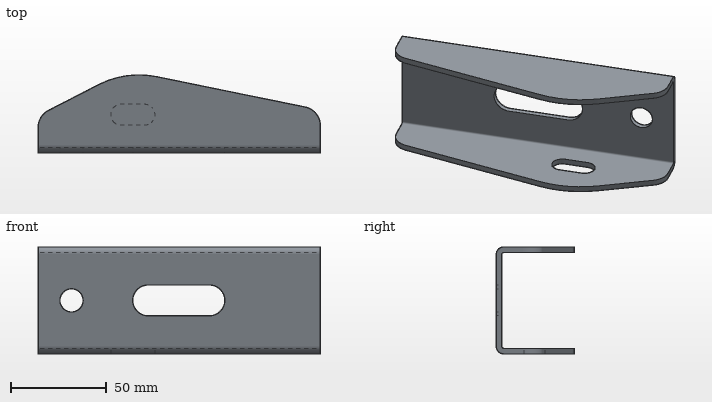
import cadquery as cq
import math

length = 147.5
depth = 40.85
height = 56.0

thickness = 3.0
bend_outer_radius = 4.0
bend_inner_radius = bend_outer_radius - thickness

peak_x = 52.7
peak_radius = 46.0
left_slope = math.radians(27.2)
right_slope = math.radians(11.55)
end_corner_radius = 10.0

hole_diameter = 12.0
hole_x = 17.5
slot_length = 48.0
slot_width = 16.0
slot_center_x = 73.5

flange_slot_width = 11.0
flange_slot_spacing = 12.0
flange_slot_left_x = 43.5
flange_slot_y = 20.0


def make_channel():
    """Bent U channel, open toward +Y, running along X."""
    outer = (
        cq.Workplane("XY")
        .box(length, depth, height, centered=(False, False, True))
        .edges("|X and <Y")
        .fillet(bend_outer_radius)
    )
    inner = (
        cq.Workplane("XY")
        .box(length, depth, height - 2 * thickness, centered=(False, False, True))
        .translate((0, thickness, 0))
        .edges("|X and <Y")
        .fillet(bend_inner_radius)
    )
    return outer.cut(inner)


def make_flange_outline():
    """Full-height prism with the tapered, rounded flange outline."""
    peak_center_y = depth - peak_radius

    left_tangent_x = peak_x - peak_radius * math.sin(left_slope)
    left_tangent_y = peak_center_y + peak_radius * math.cos(left_slope)
    right_tangent_x = peak_x + peak_radius * math.sin(right_slope)
    right_tangent_y = peak_center_y + peak_radius * math.cos(right_slope)

    left_corner_y = left_tangent_y - left_tangent_x * math.tan(left_slope)
    right_corner_y = right_tangent_y - (length - right_tangent_x) * math.tan(right_slope)

    prism = (
        cq.Workplane("XY")
        .moveTo(0, 0)
        .lineTo(0, left_corner_y)
        .lineTo(left_tangent_x, left_tangent_y)
        .threePointArc((peak_x, depth), (right_tangent_x, right_tangent_y))
        .lineTo(length, right_corner_y)
        .lineTo(length, 0)
        .close()
        .extrude(height / 2, both=True)
    )
    for x, y in [(0, left_corner_y), (length, right_corner_y)]:
        corner = cq.selectors.NearestToPointSelector((x, y, 0))
        prism = prism.edges(corner).fillet(end_corner_radius)
    return prism


def make_web_openings():
    """Cutters for the round hole and the slot through the web."""
    web = cq.Workplane("XZ")
    hole = web.center(hole_x, 0).circle(hole_diameter / 2).extrude(-thickness)
    slot = web.center(slot_center_x, 0).slot2D(slot_length, slot_width).extrude(-thickness)
    return hole.union(slot)


def make_flange_slot():
    """Cutter for the short slot through the lower flange."""
    center_x = flange_slot_left_x + flange_slot_spacing / 2
    return (
        cq.Workplane("XY", origin=(center_x, flange_slot_y, -height / 2))
        .slot2D(flange_slot_spacing + flange_slot_width, flange_slot_width)
        .extrude(thickness)
    )


result = (
    make_channel()
    .intersect(make_flange_outline())
    .cut(make_web_openings())
    .cut(make_flange_slot())
)